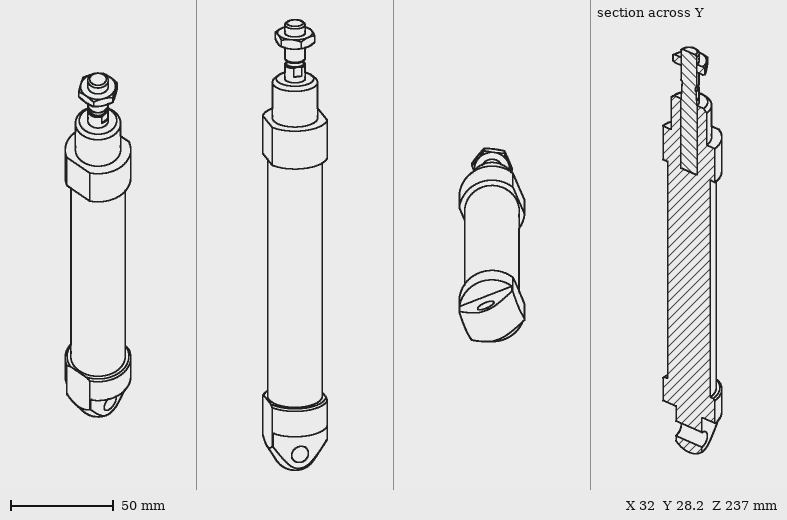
import cadquery as cq
import math

overall_length = 237
end_cover_diameter = 32.0
cover_flats = 28.2
tube_diameter = 26.5

cap_shoulder_z = 24.0
cap_top_z = 38.5
head_bottom_z = 166.4
head_top_z = 186.5
nose_top_z = 207.4
rod_flats_bottom_z = 210.5
rod_shoulder_z = 215.5
thread_bottom_z = 217.3
nut_bottom_z = 226.8

lug_width = 16.0
lug_tip_radius = 11.0
lug_cone_angle = 30
pivot_hole_diameter = 8.5
cap_top_chamfer = 1.0

nose_diameter = 22.0
nose_chamfer = 2.0

rod_diameter = 10.0
rod_neck_diameter = 8.3
rod_flats = 9.0
rod_end_chamfer = 1.0
neck_chamfer = 0.5
nut_across_flats = 17.0
nut_thickness = 5.0
nut_chamfer_angle = 30


def cylinder(diameter, bottom, top):
    return cq.Workplane("XY").workplane(offset=bottom).circle(diameter / 2).extrude(top - bottom)


def flatted_block(width_x, width_y, bottom, top):
    return cq.Workplane("XY").workplane(offset=bottom).rect(width_x, width_y).extrude(top - bottom)


def make_end_cap():
    """Rear cap: a round collar with two flats, narrowing to a rounded lug."""
    angle = math.radians(lug_cone_angle)
    radius = end_cover_diameter / 2
    tangent_r = lug_tip_radius * math.cos(angle)
    tangent_z = lug_tip_radius * (1 - math.sin(angle))
    mid_angle = (math.pi / 2 + angle) / 2
    arc_mid = (lug_tip_radius * math.cos(mid_angle), lug_tip_radius * (1 - math.sin(mid_angle)))
    cone_top_z = tangent_z + (radius - tangent_r) / math.tan(angle)
    cap = (
        cq.Workplane("XZ")
        .moveTo(0, 0)
        .threePointArc(arc_mid, (tangent_r, tangent_z))
        .lineTo(radius, cone_top_z)
        .lineTo(radius, cap_top_z - cap_top_chamfer)
        .lineTo(radius - cap_top_chamfer, cap_top_z)
        .lineTo(0, cap_top_z)
        .close()
        .revolve(360, (0, 0, 0), (0, 1, 0))
    )
    collar = flatted_block(end_cover_diameter, cover_flats, cap_shoulder_z, cap_top_z)
    lug = flatted_block(lug_width, cover_flats, 0, cap_shoulder_z)
    pivot_hole = (
        cq.Workplane("YZ")
        .center(0, lug_tip_radius)
        .circle(pivot_hole_diameter / 2)
        .extrude(lug_width, both=True)
    )
    return cap.intersect(collar.union(lug)).cut(pivot_hole)


def make_head():
    """Front cover with two flats and a chamfered round nose."""
    cover = cylinder(end_cover_diameter, head_bottom_z, head_top_z).intersect(
        flatted_block(end_cover_diameter, cover_flats, head_bottom_z, head_top_z)
    )
    nose = cylinder(nose_diameter, head_top_z, nose_top_z).faces(">Z").chamfer(nose_chamfer)
    return cover.union(nose)


def make_housing():
    """Tube, end cap and head in one body, with a blind bore for the rod through the head."""
    tube = cylinder(tube_diameter, cap_top_z, head_bottom_z)
    rod_bore = cylinder(rod_diameter, head_bottom_z, nose_top_z)
    return make_end_cap().union(tube).union(make_head()).cut(rod_bore)


def make_rod():
    """Piston rod with wrench flats, a neck and a plain stud for the nut."""
    shank = cylinder(rod_diameter, head_bottom_z, rod_shoulder_z).faces(">Z").chamfer(neck_chamfer)
    flats_height = rod_shoulder_z - rod_flats_bottom_z
    for side in (-1, 1):
        shank = shank.cut(
            cq.Workplane("XY")
            .workplane(offset=rod_flats_bottom_z)
            .center(side * (rod_flats + rod_diameter) / 2, 0)
            .rect(rod_diameter, rod_diameter)
            .extrude(flats_height)
        )
    neck = cylinder(rod_neck_diameter, rod_shoulder_z, thread_bottom_z)
    stud = (
        cylinder(rod_diameter, thread_bottom_z, overall_length)
        .faces("<Z or >Z")
        .chamfer(rod_end_chamfer)
    )
    return shank.union(neck).union(stud)


def make_nut():
    """Hexagon nut with its corners chamfered at both ends."""
    corner_diameter = nut_across_flats / math.cos(math.pi / 6)
    chamfer_width = (corner_diameter - nut_across_flats) / 2
    chamfer_height = chamfer_width * math.tan(math.radians(nut_chamfer_angle))
    hexagon = (
        cq.Workplane("XY")
        .workplane(offset=nut_bottom_z)
        .polygon(6, corner_diameter)
        .extrude(nut_thickness)
    )
    chamfered_disc = (
        cylinder(corner_diameter, nut_bottom_z, nut_bottom_z + nut_thickness)
        .faces("<Z or >Z")
        .chamfer(chamfer_height, chamfer_width)
    )
    hole = cylinder(rod_diameter, nut_bottom_z, nut_bottom_z + nut_thickness)
    return hexagon.intersect(chamfered_disc).cut(hole)


housing = make_housing()
rod = make_rod()
nut = make_nut()

result = cq.Compound.makeCompound([housing.val(), rod.val(), nut.val()])